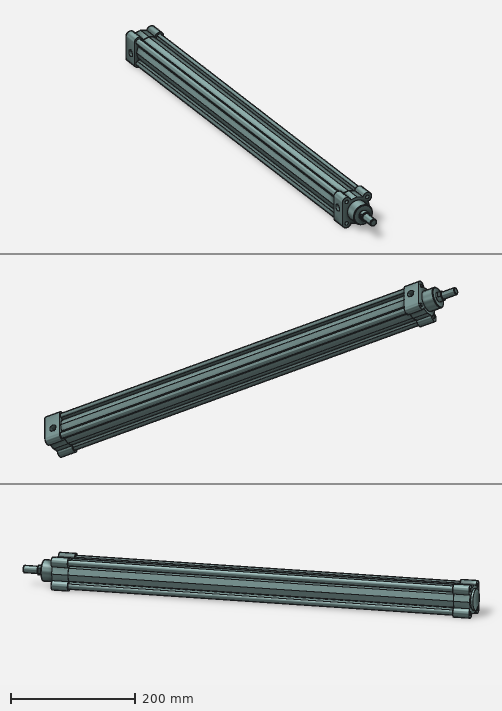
import cadquery as cq
import math

collar_length = 4.0
body_length = 705.0
cover_length = 27.5
boss_length = 20.5
rod_reach = 30.0
rear_face_x = collar_length
barrel_x = rear_face_x + cover_length
front_cover_x = rear_face_x + body_length - cover_length
front_face_x = front_cover_x + cover_length
shoulder_x = front_face_x + rod_reach
overall_length = 763.0
quarter_turns = (0, 90, 180, 270)

cover_side = 54.0
cover_half = cover_side / 2
screw_offset = 19.0
cover_lobe_radius = cover_half - screw_offset
cover_ridge = 24.0
cover_slope = math.radians(14)
collar_diameter = 35.0
boss_chamfer = 1.15
screw_hole_diameter = 6.0
screw_hole_depth = 15.0
port_diameter = 11.5
port_depth = 11.5
port_inset = 12.0
port_offset = 4.5

barrel_length = body_length - 2 * cover_length
barrel_lobe_radius = 4.95
barrel_ridge = 23.0
rib_slope = math.radians(13)
ridge_half_width = 6.0
shoulder_half_width = 11.0
shoulder_slope = math.radians(20)
groove_centre = 12.6
lobe_edge = 14.9
groove_floor = 14.0

rod_diameter = 16.0
thread_diameter = 12.0
thread_chamfer = 1.15
rod_chamfer = 1.0
flats_width = 13.0
flats_length = 4.5
flats_end_gap = 1.5


def cross_section(x):
    """Workplane at the given X, looking along +X, with local axes Y and Z."""
    return cq.Workplane("YZ", origin=(x, 0, 0))


def corner_points(offset):
    """Four points on the diagonals, at the given distance from both mid-planes."""
    return [(y * offset, z * offset) for y in (-1, 1) for z in (-1, 1)]


def cover_block(start_x):
    """Square cover with round corner lobes, roofed recesses on three sides and a flat -Y side."""
    roof_foot_width = screw_offset
    roof_foot = cover_ridge - roof_foot_width * math.tan(cover_slope)
    outline = [(0, 0), (-roof_foot_width, roof_foot), (0, cover_ridge), (roof_foot_width, roof_foot)]
    block = cross_section(start_x).rect(2 * screw_offset, 2 * screw_offset).extrude(cover_length)
    roof = cross_section(start_x).polyline(outline).close().extrude(cover_length)
    for angle in quarter_turns:
        block = block.union(roof.rotate((0, 0, 0), (1, 0, 0), angle))
    lobes = cross_section(start_x).pushPoints(corner_points(screw_offset))
    block = block.union(lobes.circle(cover_lobe_radius).extrude(cover_length))
    flat_side = cross_section(start_x).center(-cover_half / 2, 0)
    return block.union(flat_side.rect(cover_half, 2 * screw_offset).extrude(cover_length))


def port_tool(x, z):
    """Blind port bored into the flat -Y side."""
    return cq.Workplane("XZ", origin=(x, -cover_half, z)).circle(port_diameter / 2).extrude(-port_depth)


def screw_hole_tool(face_x, depth):
    """Four corner screw holes running from the face, along +X for a positive depth."""
    holes = cross_section(face_x).pushPoints(corner_points(screw_offset))
    return holes.circle(screw_hole_diameter / 2).extrude(depth)


def make_rear_cover():
    cover = cover_block(rear_face_x)
    cover = cover.union(cross_section(0).circle(collar_diameter / 2).extrude(barrel_x))
    cover = cover.cut(port_tool(barrel_x - port_inset, -port_offset))
    return cover.cut(screw_hole_tool(rear_face_x, screw_hole_depth))


def make_front_cover():
    boss = cross_section(front_cover_x).circle(collar_diameter / 2).extrude(cover_length + boss_length)
    boss = boss.faces(">X").chamfer(boss_chamfer)
    cover = cover_block(front_cover_x).union(boss)
    cover = cover.cut(port_tool(front_cover_x + port_inset, port_offset))
    cover = cover.cut(screw_hole_tool(front_face_x, -screw_hole_depth))
    rod_bore = cross_section(front_cover_x).circle(rod_diameter / 2)
    return cover.cut(rod_bore.extrude(cover_length + boss_length))


def barrel_lobe():
    """One corner lobe: round on the outside, with a sloping groove wall on either side."""
    edge_rise = math.sqrt(barrel_lobe_radius**2 - (screw_offset - lobe_edge) ** 2)
    edge_height = screw_offset + edge_rise
    crest = screw_offset + barrel_lobe_radius
    lobe = cross_section(barrel_x).moveTo(groove_centre, groove_floor).lineTo(lobe_edge, edge_height)
    lobe = lobe.radiusArc((screw_offset, crest), barrel_lobe_radius)
    lobe = lobe.radiusArc((crest, screw_offset), barrel_lobe_radius)
    lobe = lobe.radiusArc((edge_height, lobe_edge), barrel_lobe_radius)
    return lobe.lineTo(groove_floor, groove_centre).close().extrude(barrel_length)


def make_barrel():
    """Profile with a ridged rib on each side, a groove beside each rib and four round lobes."""
    rib_shoulder = barrel_ridge - ridge_half_width * math.tan(rib_slope)
    rib_edge = rib_shoulder - (shoulder_half_width - ridge_half_width) * math.tan(shoulder_slope)
    half_rib = [(ridge_half_width, rib_shoulder), (shoulder_half_width, rib_edge)]
    half_rib += [(groove_centre, groove_floor), (groove_centre, 0)]
    outline = [(-y, z) for y, z in reversed(half_rib)] + [(0, barrel_ridge)] + half_rib
    rib = cross_section(barrel_x).polyline(outline).close().extrude(barrel_length)
    barrel = cross_section(barrel_x).rect(2 * groove_floor, 2 * groove_floor).extrude(barrel_length)
    for angle in quarter_turns:
        barrel = barrel.union(rib.rotate((0, 0, 0), (1, 0, 0), angle))
        barrel = barrel.union(barrel_lobe().rotate((0, 0, 0), (1, 0, 0), angle))
    return barrel


def make_piston_rod():
    """Rod from the barrel end through the front cover, with wrench flats and a stud end."""
    rod = cross_section(front_cover_x).circle(rod_diameter / 2).extrude(shoulder_x - front_cover_x)
    rod = rod.faces(">X").chamfer(rod_chamfer)
    stud = cross_section(shoulder_x).circle(thread_diameter / 2).extrude(overall_length - shoulder_x)
    rod = rod.union(stud.faces(">X").chamfer(thread_chamfer))
    flats_x = shoulder_x - flats_end_gap - flats_length
    clearance = 2 * rod_diameter
    band = cross_section(flats_x).rect(clearance, clearance).rect(flats_width, clearance)
    return rod.cut(band.extrude(flats_length))


rear_cover = make_rear_cover()
barrel = make_barrel()
front_cover = make_front_cover()
piston_rod = make_piston_rod()

result = cq.Compound.makeCompound([rear_cover.val(), barrel.val(), front_cover.val(), piston_rod.val()])